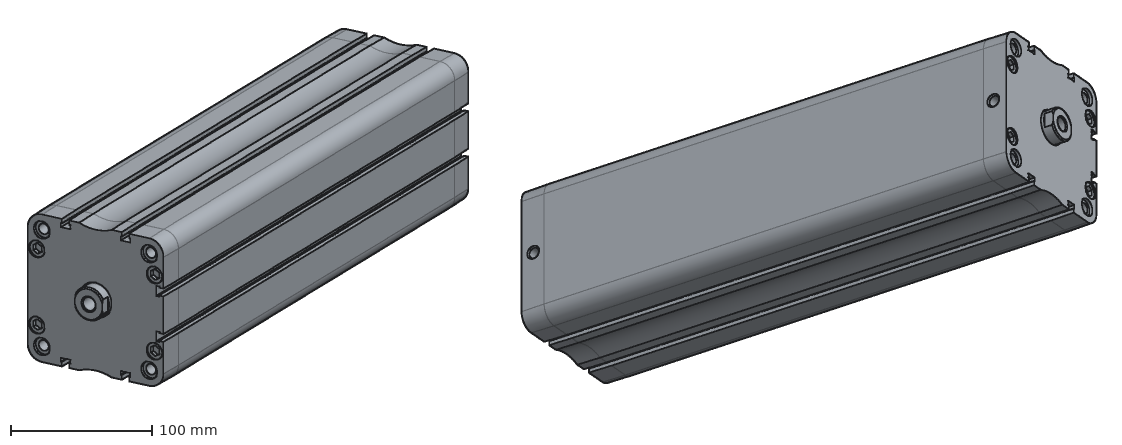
import cadquery as cq
import math

total_length = 427.0
rod_projection = 9.5
housing_length = total_length - rod_projection
cap_length = 19.5
housing_width = 113.0
half_width = housing_width / 2
cap_draft = 0.35
corner_centre = 44.5
hollow_width = 27.0
hollow_depth = 2.5

slot_neck_width = 6.0
slot_head_width = 7.5
slot_lip = 4.0
top_slot_depth = 7.0
side_slot_depth = 6.5
top_slot_spacing = 49.5
side_slot_spacing = 34.5

tie_hole_diameter = 8.0
tie_counterbore_diameter = 13.2
tie_counterbore_depth = 2.5
screw_x = 48.5
screw_z = 29.0
screw_recess_diameter = 13.0
screw_recess_depth = 1.3
screw_socket_diameter = 8.0
screw_socket_depth = 3.5

front_port_inset = 11.0
rear_port_inset = 10.2
port_diameter = 8.0
port_rim_diameter = 10.2
port_depth = 13.0
port_passage_diameter = 6.0
port_passage_depth = 4.3

rod_diameter = 25.0
rod_clearance_diameter = 26.5
rod_clearance_depth = 2.0
rod_chamfer = 1.05
flat_spacing = 22.5
flat_length = 7.3
thread_diameter = 10.2
thread_rim_diameter = 12.0
thread_depth = 21.5
drill_tip_angle = 118.0


def section_plane(y):
    """Plane at the given Y whose local axes are X and Z; its normal points to -Y."""
    return cq.Workplane("XZ", origin=(0, y, 0))


def housing_outline(y, half):
    """Rounded square with a shallow hollow in the upper and lower sides."""
    diagonal = corner_centre + (half - corner_centre) * math.sqrt(0.5)
    c = corner_centre
    h = hollow_width / 2
    floor = half - hollow_depth
    return (
        section_plane(y)
        .moveTo(-c, half)
        .lineTo(-h, half)
        .threePointArc((0, floor), (h, half))
        .lineTo(c, half)
        .threePointArc((diagonal, diagonal), (half, c))
        .lineTo(half, -c)
        .threePointArc((diagonal, -diagonal), (c, -half))
        .lineTo(h, -half)
        .threePointArc((0, -floor), (-h, -half))
        .lineTo(-c, -half)
        .threePointArc((-diagonal, -diagonal), (-half, -c))
        .lineTo(-half, c)
        .threePointArc((-diagonal, diagonal), (-c, half))
        .close()
    )


def drafted_cap(seam_y, end_y):
    """End cap that narrows slightly from the tube seam to its free end."""
    seam = housing_outline(seam_y, half_width).val()
    end = housing_outline(end_y, half_width - cap_draft).val()
    return cq.Workplane(obj=cq.Solid.makeLoft([seam, end], True))


def t_slot(offset, depth, angle):
    """T-slot along the whole housing, cut into the +Z face and turned about Y."""
    opening = 4.3
    neck_height = slot_lip + opening
    head_height = depth - slot_lip
    neck = (
        section_plane(housing_length)
        .center(offset, half_width + opening - neck_height / 2)
        .rect(slot_neck_width, neck_height)
        .extrude(housing_length)
    )
    head = (
        section_plane(housing_length)
        .center(offset, half_width - slot_lip - head_height / 2)
        .rect(slot_head_width, head_height)
        .extrude(housing_length)
    )
    return neck.union(head).rotate((0, 0, 0), (0, 1, 0), angle)


def rimmed_hole(diameter, rim_diameter, depth, tip_height):
    """Blind hole from the origin toward +Z with a 45 degree rim; zero tip height gives a flat floor.

    A short collar before the origin clears any sloping skin above the rim.
    """
    collar = 2.0
    radius = diameter / 2
    rim_radius = rim_diameter / 2
    profile = [
        (0, -collar),
        (rim_radius, -collar),
        (rim_radius, 0),
        (radius, rim_radius - radius),
        (radius, depth),
        (0, depth + tip_height),
    ]
    return (
        cq.Workplane("XZ")
        .polyline(profile)
        .close()
        .revolve(360, (0, 0, 0), (0, 1, 0))
    )


def four_corners(a, b):
    """Four points mirrored about both local axes."""
    return [(u, v) for u in (-a, a) for v in (-b, b)]


def front_holes():
    """Tie rod holes through the corners and the recessed socket screws beside them."""
    tie_points = four_corners(corner_centre, corner_centre)
    screw_points = four_corners(screw_x, screw_z)

    def bore(points, diameter, depth):
        return section_plane(0).pushPoints(points).circle(diameter / 2).extrude(-depth)

    holes = bore(tie_points, tie_hole_diameter, housing_length)
    holes = holes.union(bore(tie_points, tie_counterbore_diameter, tie_counterbore_depth))
    recesses = bore(screw_points, screw_recess_diameter, screw_recess_depth)
    sockets = (
        section_plane(0)
        .transformed(rotate=(0, 0, 90))
        .pushPoints(four_corners(screw_z, screw_x))
        .polygon(6, screw_socket_diameter)
        .extrude(-(screw_recess_depth + screw_socket_depth))
    )
    return holes.union(recesses).union(sockets)


def piston_rod():
    """Rod end with two wrench flats and a chamfered tip."""
    rod = section_plane(0).circle(rod_diameter / 2).extrude(rod_projection)
    rod = rod.faces("<Y").chamfer(rod_chamfer)
    flats = (
        section_plane(flat_length - rod_projection)
        .rect(2 * rod_diameter, rod_diameter)
        .rect(flat_spacing, rod_diameter)
        .extrude(flat_length)
    )
    buried = section_plane(0).circle(rod_diameter / 2).extrude(-cap_length)
    return rod.cut(flats).union(buried)


rear_seam = housing_length - cap_length
housing = housing_outline(rear_seam, half_width).extrude(rear_seam - cap_length)
housing = housing.union(drafted_cap(cap_length, 0))
housing = housing.union(drafted_cap(rear_seam, housing_length))

slot_pairs = (
    (0, top_slot_spacing, top_slot_depth),
    (180, top_slot_spacing, top_slot_depth),
    (90, side_slot_spacing, side_slot_depth),
)
for angle, spacing, depth in slot_pairs:
    for offset in (-spacing / 2, spacing / 2):
        housing = housing.cut(t_slot(offset, depth, angle))

housing = housing.cut(front_holes())

port = rimmed_hole(port_diameter, port_rim_diameter, port_depth, 0)
passage = cq.Workplane("XY").circle(port_passage_diameter / 2).extrude(port_depth + port_passage_depth)
port = port.union(passage).rotate((0, 0, 0), (0, 1, 0), 90)
for port_y in (front_port_inset, housing_length - rear_port_inset):
    housing = housing.cut(port.translate((cap_draft - half_width, port_y, 0)))

thread_tip = thread_diameter / 2 / math.tan(math.radians(drill_tip_angle / 2))
thread = rimmed_hole(thread_diameter, thread_rim_diameter, thread_depth, thread_tip)
thread = thread.rotate((0, 0, 0), (1, 0, 0), -90).translate((0, -rod_projection, 0))
clearance = section_plane(0).circle(rod_clearance_diameter / 2).extrude(-rod_clearance_depth)
result = housing.cut(clearance).union(piston_rod()).cut(thread)